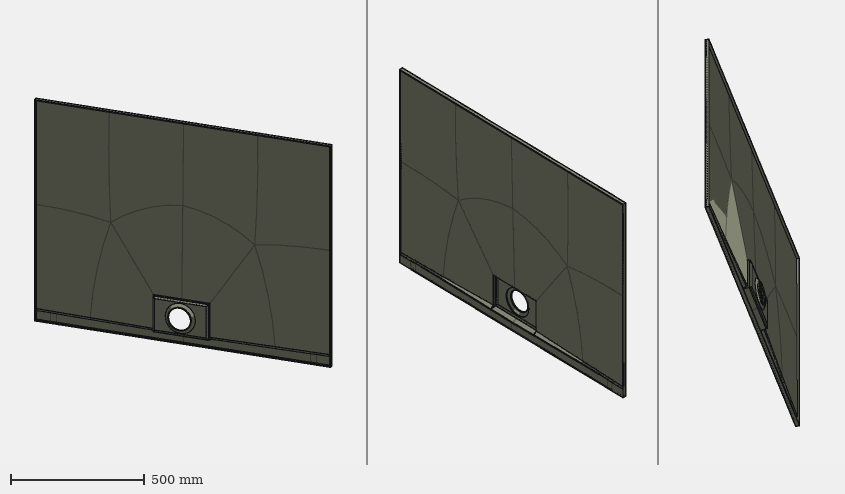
import cadquery as cq


WIDTH = 1200.0
HEIGHT = 900.0
DEPTH = 47.0
HALF_WIDTH = WIDTH / 2

SHEET = 5.0
RIM_WIDTH = 4.5
RIM_DEPTH = 15.0

LEDGE_END_TOP = 39.0
LEDGE_MIDDLE_TOP = 33.5
LEDGE_DEPTH = 7.0
LEDGE_FLAT_X = 540.0
LEDGE_TILT_X = 515.0

RIDGE_Z = 48.0

BOX_HALF_WIDTH = 115.0
BOX_TOP = 187.0
BOX_MOUTH_DEPTH = 22.5
BOX_WALL_RUN = 2.0
BOX_WALL_DEPTH = 33.0
BOX_WALL_FOOT_Z = 40.0
BOX_FLOOR_INSET = 10.0
BOX_FLOOR_DEPTH = 37.0
BOX_FLOOR_FOOT_Z = 49.0

OUTLET_Z = 113.0
HOLE_RADIUS = 45.0
CONE_HEIGHT = DEPTH - BOX_FLOOR_DEPTH
CONE_TIP_RADIUS = 47.0
CONE_BASE_RADIUS = 61.0

CREASE_X = 292.0
CREASE_Z = 448.0
CREASE_DEPTH = 12.5
ARCH_Z = 563.0
ARCH_DEPTH = 12.5
ARCH_SIDE_X = 150.0
ARCH_SIDE_Z = 528.0
TOP_CREASE_X = 301.0
TOP_CREASE_MID_X = 301.0
TOP_CREASE_MID_Z = 660.0
TOP_CREASE_MID_DEPTH = 9.0
SIDE_CREASE_Z = 471.0
SIDE_CREASE_DEPTH = 7.0
SIDE_CREASE_MID_X = 446.0
SIDE_CREASE_MID_Z = 467.0
SIDE_CREASE_MID_DEPTH = 9.5
SIDE_FOOT_DEPTH = 8.0
FLANK_X = 375.0
FLANK_DEPTH = 14.0
FLANK_MID_X = 347.0
FLANK_MID_Z = 250.0
FLANK_MID_DEPTH = 13.5


def point(x, depth, z):
    """Point on the underside of the left half (x is the distance from the middle)."""
    return cq.Vector(-x, -depth, z)


def line(start, end):
    return cq.Edge.makeLine(start, end)


def thicken(face):
    """Sheet piece with the given underside."""
    return cq.Solid.extrudeLinear(face, cq.Vector(0, SHEET, 0))


def ruled(edge_a, edge_b):
    return thicken(cq.Face.makeRuledSurface(edge_a, edge_b))


def filled(*edges):
    """Smooth sheet piece spanning a closed loop of edges."""
    return thicken(cq.Face.makeNSidedSurface(list(edges), []))


def strips(upper, lower):
    """One sheet piece between each pair of neighbouring points of two matching rows."""
    return [
        ruled(line(upper[i], upper[i + 1]), line(lower[i], lower[i + 1]))
        for i in range(len(upper) - 1)
    ]


def triangle(a, b, c):
    return thicken(cq.Face.makeFromWires(cq.Wire.makePolygon([a, b, c], close=True)))


SIDE_FOOT = point(HALF_WIDTH, SIDE_FOOT_DEPTH, RIDGE_Z)
FLANK_FOOT = point(FLANK_X, FLANK_DEPTH, RIDGE_Z)
MOUTH_CORNER = point(BOX_HALF_WIDTH, BOX_MOUTH_DEPTH, BOX_TOP)
MOUTH_MIDDLE = point(0, BOX_MOUTH_DEPTH, BOX_TOP)
MOUTH_FOOT = point(BOX_HALF_WIDTH, BOX_MOUTH_DEPTH, RIDGE_Z)
LEDGE_SIDE = point(HALF_WIDTH, SHEET, LEDGE_END_TOP)
LEDGE_FLAT = point(LEDGE_FLAT_X, SHEET, LEDGE_END_TOP)
LEDGE_TILT = point(LEDGE_TILT_X, LEDGE_DEPTH, LEDGE_END_TOP)
LEDGE_MIDDLE = point(0, LEDGE_DEPTH, LEDGE_MIDDLE_TOP)
LEDGE_FLANK = LEDGE_TILT + (LEDGE_MIDDLE - LEDGE_TILT) * (1 - FLANK_X / LEDGE_TILT_X)
LEDGE_MOUTH = LEDGE_TILT + (LEDGE_MIDDLE - LEDGE_TILT) * (1 - BOX_HALF_WIDTH / LEDGE_TILT_X)


def dish():
    """Shallow dish of the left half, from the edges down to the drain box and the ridge."""
    top_corner = point(HALF_WIDTH, SHEET, HEIGHT)
    top_crease = point(TOP_CREASE_X, SHEET, HEIGHT)
    top_crease_mid = point(TOP_CREASE_MID_X, TOP_CREASE_MID_DEPTH, TOP_CREASE_MID_Z)
    top_middle = point(0, SHEET, HEIGHT)
    side_crease = point(HALF_WIDTH, SIDE_CREASE_DEPTH, SIDE_CREASE_Z)
    side_crease_mid = point(SIDE_CREASE_MID_X, SIDE_CREASE_MID_DEPTH, SIDE_CREASE_MID_Z)
    crease = point(CREASE_X, CREASE_DEPTH, CREASE_Z)
    arch_side = point(ARCH_SIDE_X, ARCH_DEPTH, ARCH_SIDE_Z)
    arch_top = point(0, ARCH_DEPTH, ARCH_Z)
    flank_mid = point(FLANK_MID_X, FLANK_MID_DEPTH, FLANK_MID_Z)

    arch = cq.Edge.makeThreePointArc(crease, arch_side, arch_top)
    flank = cq.Edge.makeThreePointArc(crease, flank_mid, FLANK_FOOT)
    side_seam = cq.Edge.makeThreePointArc(side_crease, side_crease_mid, crease)
    top_seam = cq.Edge.makeThreePointArc(crease, top_crease_mid, top_crease)

    return [
        filled(
            line(top_crease, top_corner), line(top_corner, side_crease), side_seam, top_seam
        ),
        filled(top_seam, line(top_crease, top_middle), line(top_middle, arch_top), arch),
        filled(side_seam, flank, line(FLANK_FOOT, SIDE_FOOT), line(SIDE_FOOT, side_crease)),
        ruled(arch, line(MOUTH_CORNER, MOUTH_MIDDLE)),
        ruled(flank, line(MOUTH_CORNER, MOUTH_FOOT)),
    ]


def slope_and_ledge():
    """Slope from the ridge up to the ledge, and the ledge itself, on the left half."""
    ridge = line(SIDE_FOOT, FLANK_FOOT)
    ridge_span = HALF_WIDTH - FLANK_X
    ridge_flat = ridge.positionAt((HALF_WIDTH - LEDGE_FLAT_X) / ridge_span)
    ridge_tilt = ridge.positionAt((HALF_WIDTH - LEDGE_TILT_X) / ridge_span)
    slope = strips(
        [SIDE_FOOT, ridge_flat, ridge_tilt, FLANK_FOOT, MOUTH_FOOT],
        [LEDGE_SIDE, LEDGE_FLAT, LEDGE_TILT, LEDGE_FLANK, LEDGE_MOUTH],
    )
    lower_edge = [
        point(x, SHEET, 0) for x in (HALF_WIDTH, LEDGE_FLAT_X, LEDGE_TILT_X, 0)
    ]
    ledge = strips([LEDGE_SIDE, LEDGE_FLAT, LEDGE_TILT, LEDGE_MIDDLE], lower_edge)
    return slope + ledge


def drain_box():
    """Steep wall, bevel and floor of the left half of the drain box."""
    wall_x = BOX_HALF_WIDTH - BOX_WALL_RUN
    wall_z = BOX_TOP - BOX_WALL_RUN
    wall_corner = point(wall_x, BOX_WALL_DEPTH, wall_z)
    wall_middle = point(0, BOX_WALL_DEPTH, wall_z)
    wall_foot = point(wall_x, BOX_WALL_DEPTH, BOX_WALL_FOOT_Z)
    wall_foot_middle = point(0, BOX_WALL_DEPTH, BOX_WALL_FOOT_Z)
    floor_x = BOX_HALF_WIDTH - BOX_FLOOR_INSET
    floor_z = BOX_TOP - BOX_FLOOR_INSET
    floor_corner = point(floor_x, BOX_FLOOR_DEPTH, floor_z)
    floor_middle = point(0, BOX_FLOOR_DEPTH, floor_z)
    floor_foot = point(floor_x, BOX_FLOOR_DEPTH, BOX_FLOOR_FOOT_Z)
    floor_foot_middle = point(0, BOX_FLOOR_DEPTH, BOX_FLOOR_FOOT_Z)

    upper_and_side = strips(
        [MOUTH_MIDDLE, MOUTH_CORNER, MOUTH_FOOT], [wall_middle, wall_corner, wall_foot]
    )
    bevel = strips(
        [wall_middle, wall_corner, wall_foot, wall_foot_middle],
        [floor_middle, floor_corner, floor_foot, floor_foot_middle],
    )
    floor = strips([floor_corner, floor_middle], [floor_foot, floor_foot_middle])
    lower = strips([wall_foot, wall_foot_middle], [LEDGE_MOUTH, LEDGE_MIDDLE])
    return upper_and_side + bevel + floor + lower + [triangle(MOUTH_FOOT, wall_foot, LEDGE_MOUTH)]


def sheet():
    left = dish() + slope_and_ledge() + drain_box()
    right = [piece.mirror("YZ") for piece in left]
    return cq.Workplane(left[0].fuse(*left[1:], *right))


def rim():
    """Lip around the whole edge."""
    outer = cq.Workplane("XY").box(WIDTH, RIM_DEPTH, HEIGHT, centered=(True, False, False))
    inner = cq.Workplane("XY").box(
        WIDTH - 2 * RIM_WIDTH, RIM_DEPTH, HEIGHT - 2 * RIM_WIDTH, centered=(True, False, False)
    )
    ring = outer.cut(inner.translate((0, 0, RIM_WIDTH)))
    return ring.translate((0, -RIM_DEPTH, 0))


def outlet_cone():
    cone = cq.Solid.makeCone(
        CONE_BASE_RADIUS, CONE_TIP_RADIUS, CONE_HEIGHT,
        cq.Vector(0, -BOX_FLOOR_DEPTH, OUTLET_Z), cq.Vector(0, -1, 0),
    )
    return cq.Workplane(cone)


def outlet_bore():
    """Clearance inside the outlet: the cone moved in by the sheet thickness, and the hole."""
    hole = cq.Solid.makeCylinder(
        HOLE_RADIUS, DEPTH, cq.Vector(0, -DEPTH, OUTLET_Z), cq.Vector(0, 1, 0)
    )
    return outlet_cone().translate((0, SHEET, 0)).union(cq.Workplane(hole))


result = sheet().union(rim()).union(outlet_cone()).cut(outlet_bore())